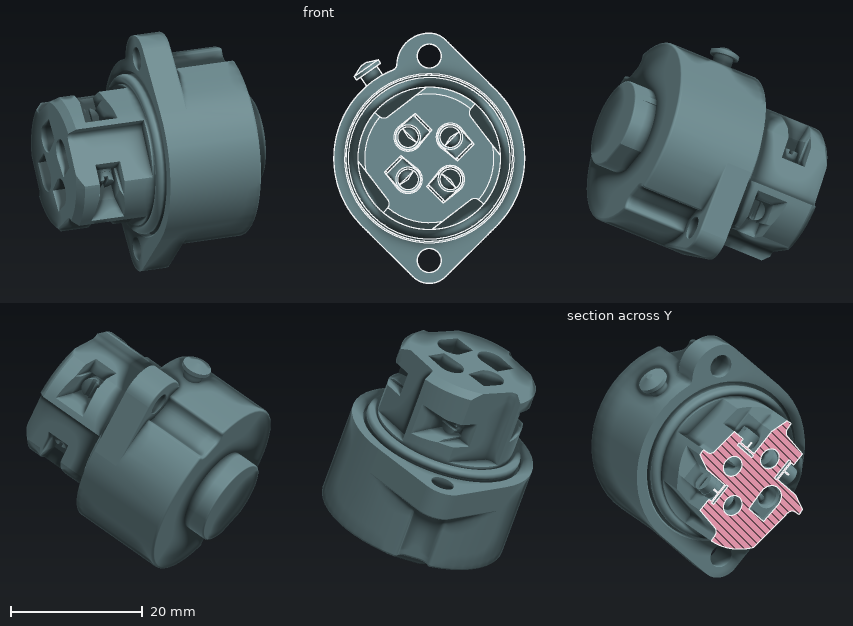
import cadquery as cq
import math


SHELL_RADIUS = 14.495
SHELL_BACK_Y = 14.78
SHELL_EDGE_ROUND = 0.38

FLANGE_THICKNESS = 4.5
FLANGE_EDGE_ROUND = 0.25
FLANGE_HALF_HEIGHT = 19.0
MOUNT_HOLE_DIAMETER = 3.6
MOUNT_HOLE_Z = 15.5
LUG_RADIUS = FLANGE_HALF_HEIGHT - MOUNT_HOLE_Z
RELIEVED_LUG_RADIUS = 4.95
RELIEF_FILLET = 0.95

NOTCH_FLOOR_Z = 12.85
NOTCH_HALF_FLOOR = 1.0
NOTCH_HALF_WIDTH = 2.47
NOTCH_CORNER_RADIUS = NOTCH_HALF_WIDTH - NOTCH_HALF_FLOOR
NOTCH_LIP_ROUND = 0.5

PIN_ANGLE = 125.0
PIN_Y = 4.3
PIN_STEM_RADIUS = 1.5
PIN_HEAD_RADIUS = 2.25
PIN_TIP_RADIUS = 0.5
PIN_ROOT_REACH = 13.3
PIN_HEAD_REACH = 16.05
PIN_RIM_REACH = 16.68
PIN_TIP_REACH = 17.4

RECESS_RADIUS = 12.6
RECESS_DEPTH = 1.25
RECESS_CHAMFER = 0.23

INSERT_RADIUS = 10.81
INSERT_FRONT_Y = -13.5
INSERT_SEAT_Y = FLANGE_THICKNESS
INSERT_CHAMFER = 1.03
BOSS_RADIUS = 6.8
BOSS_BACK_Y = 18.43
BOSS_FLAT_Z = -6.42
BOSS_EDGE_ROUND = 0.23
RIB_HEIGHT = 0.1
RIB_BOTTOM_Z = -0.4
RIB_WIDTH = 1.15
RIB_RAMP_Y = 16.07
RIB_END_Y = 17.1

SEAL_OUTER_RADIUS = 12.1
SEAL_PROUD = 1.25

FLAT_DISTANCE = 8.8
FLAT_NORMAL_ANGLE = 127.5
FLAT_WALL_ANGLE = 140.0
FLAT_FILLET = 1.0
FLAT_START_Y = -1.5

SCREW_ANGLE = 45.0
SCREW_Y = -8.05
GROUND_SCREW_Y = -6.05
STATION_SCREW_YS = [SCREW_Y, SCREW_Y, GROUND_SCREW_Y, SCREW_Y]

SCREW_RADIUS = 1.5
SCREW_TOP = 5.95
SCREW_CONE_HEIGHT = 0.35
SCREW_TIP_RADIUS = 0.065
SCREW_SLOT_WIDTH = 0.7
SCREW_SLOT_DEPTH = 0.57
COLLAR_RADIUS = 1.55
COLLAR_TOP = 4.65

WIRE_OFFSET = 3.203
ENTRY_FLOOR_DROP = 3.08
ENTRY_REACH = 3.3
ENTRY_MOUTH_RADIUS = 2.145
ENTRY_FLOOR_RADIUS = 1.95
ENTRY_MOUTH_HALF_END = 1.8
ENTRY_FLOOR_HALF_END = 1.75
ENTRY_GAP_WIDTH = 0.38
WIRE_HOLE_RADIUS = 1.55
WIRE_HOLE_PAST_SCREW = 2.28
COUNTERSINK_RADIUS = 1.85

WELL_HALF_WIDTH = 1.6
WELL_FLOOR = 3.6
SIDE_SLOT_HALF_WIDTH = 1.995
SIDE_SLOT_FLOOR = 4.2
FUNNEL_START = 7.9
FUNNEL_SLOPE = 0.37
WELL_TOP = 12.15


def plane_at(y):
    """Workplane facing -Y, with local axes X and Z."""
    return cq.Workplane("XZ", origin=(0, y, 0))


def cylinder(radius, y_start, y_end):
    return plane_at(y_start).circle(radius).extrude(y_start - y_end)


def cone(start_radius, end_radius, y_start, y_end):
    return cq.Workplane(cq.Solid.makeCone(
        start_radius, end_radius, y_end - y_start,
        pnt=cq.Vector(0, y_start, 0), dir=cq.Vector(0, 1, 0)))


def polar(radius, angle):
    return (radius * math.cos(math.radians(angle)), radius * math.sin(math.radians(angle)))


def quarter_turn(shape, turn):
    """A shape turned about the Y axis by a number of quarter turns."""
    return shape.rotate((0, 0, 0), (0, 1, 0), 90 * turn)



def side_tangent():
    """Points where the straight side of a lug touches the shell and the lug's round end."""
    side_angle = math.degrees(math.asin((SHELL_RADIUS - LUG_RADIUS) / MOUNT_HOLE_Z))
    lug_x, lug_rise = polar(LUG_RADIUS, side_angle)
    return polar(SHELL_RADIUS, side_angle), (lug_x, MOUNT_HOLE_Z + lug_rise)


def lower_lug():
    (shell_x, shell_z), (lug_x, lug_z) = side_tangent()
    return finish_lug(
        plane_at(0)
        .lineTo(shell_x, -shell_z)
        .lineTo(lug_x, -lug_z)
        .threePointArc((0, -FLANGE_HALF_HEIGHT), (-lug_x, -lug_z))
        .lineTo(-shell_x, -shell_z)
        .close()
    )


def upper_lug():
    """Lug with a wider arc on the pin side, running into the shell through a fillet."""
    (shell_x, shell_z), (lug_x, lug_z) = side_tangent()
    side_angle = math.degrees(math.atan2(shell_z, shell_x))
    arc_x, arc_rise = polar(LUG_RADIUS, (90 + side_angle) / 2)
    relief_z = FLANGE_HALF_HEIGHT - RELIEVED_LUG_RADIUS
    relief_x, relief_rise = polar(RELIEVED_LUG_RADIUS, 135)

    shell_reach = SHELL_RADIUS + RELIEF_FILLET
    lug_reach = RELIEVED_LUG_RADIUS + RELIEF_FILLET
    fillet_z = (shell_reach ** 2 - lug_reach ** 2 + relief_z ** 2) / (2 * relief_z)
    fillet_x = -math.sqrt(shell_reach ** 2 - fillet_z ** 2)
    join_angle = math.degrees(math.atan2(fillet_z - relief_z, fillet_x))
    join_x, join_rise = polar(RELIEVED_LUG_RADIUS, join_angle)
    foot_angle = math.degrees(math.atan2(fillet_z, fillet_x))
    bend_x, bend_z = polar(RELIEF_FILLET, (foot_angle + join_angle) / 2 - 180)
    return finish_lug(
        plane_at(0)
        .lineTo(shell_x, shell_z)
        .lineTo(lug_x, lug_z)
        .threePointArc((arc_x, MOUNT_HOLE_Z + arc_rise), (0, FLANGE_HALF_HEIGHT))
        .threePointArc((relief_x, relief_z + relief_rise), (join_x, relief_z + join_rise))
        .threePointArc((fillet_x + bend_x, fillet_z + bend_z), polar(SHELL_RADIUS, foot_angle))
        .close()
    )


def finish_lug(outline):
    """Extrude a lug outline and round its back edge."""
    lug = outline.extrude(-FLANGE_THICKNESS)
    return lug.faces(">Y").edges().fillet(FLANGE_EDGE_ROUND)


def clearance_notch():
    """Round-cornered groove along the shell at the +Z side."""
    corner_z = NOTCH_FLOOR_Z + NOTCH_CORNER_RADIUS
    bend = NOTCH_CORNER_RADIUS * math.sqrt(0.5)
    top_z = MOUNT_HOLE_Z
    return (
        plane_at(FLANGE_THICKNESS)
        .moveTo(-NOTCH_HALF_FLOOR, NOTCH_FLOOR_Z)
        .lineTo(NOTCH_HALF_FLOOR, NOTCH_FLOOR_Z)
        .threePointArc((NOTCH_HALF_FLOOR + bend, corner_z - bend), (NOTCH_HALF_WIDTH, corner_z))
        .lineTo(NOTCH_HALF_WIDTH, top_z)
        .lineTo(-NOTCH_HALF_WIDTH, top_z)
        .lineTo(-NOTCH_HALF_WIDTH, corner_z)
        .threePointArc((-NOTCH_HALF_FLOOR - bend, corner_z - bend), (-NOTCH_HALF_FLOOR, NOTCH_FLOOR_Z))
        .close()
        .extrude(FLANGE_THICKNESS - SHELL_BACK_Y)
    )


def shell():
    body = cylinder(SHELL_RADIUS, 0, SHELL_BACK_Y)
    notch = clearance_notch()
    body = body.cut(notch).cut(notch.mirror("XY"))
    lip_z = math.sqrt(SHELL_RADIUS ** 2 - NOTCH_HALF_WIDTH ** 2)
    for x in (-NOTCH_HALF_WIDTH, NOTCH_HALF_WIDTH):
        for z in (-lip_z, lip_z):
            lip = cq.selectors.NearestToPointSelector((x, (FLANGE_THICKNESS + SHELL_BACK_Y) / 2, z))
            body = body.edges(lip).fillet(NOTCH_LIP_ROUND)
    return body.faces(">Y").edges().fillet(SHELL_EDGE_ROUND)


def lock_pin():
    profile = (
        cq.Workplane("XY")
        .moveTo(0, PIN_ROOT_REACH)
        .lineTo(PIN_STEM_RADIUS, PIN_ROOT_REACH)
        .lineTo(PIN_STEM_RADIUS, PIN_HEAD_REACH)
        .lineTo(PIN_HEAD_RADIUS, PIN_HEAD_REACH)
        .lineTo(PIN_HEAD_RADIUS, PIN_RIM_REACH)
        .lineTo(PIN_TIP_RADIUS, PIN_TIP_REACH)
        .lineTo(0, PIN_TIP_REACH)
        .close()
    )
    pin = profile.revolve(360, (0, 0, 0), (0, 1, 0))
    upright = pin.rotate((0, 0, 0), (1, 0, 0), 90)
    return upright.rotate((0, 0, 0), (0, 1, 0), 90 - PIN_ANGLE).translate((0, PIN_Y, 0))


def make_housing():
    body = shell().union(upper_lug()).union(lower_lug()).union(lock_pin())
    for z in (MOUNT_HOLE_Z, -MOUNT_HOLE_Z):
        hole = cylinder(MOUNT_HOLE_DIAMETER / 2, 0, FLANGE_THICKNESS).translate((0, 0, z))
        body = body.cut(hole)
    recess = cylinder(RECESS_RADIUS, 0, RECESS_DEPTH)
    recess_mouth = cone(RECESS_RADIUS + RECESS_CHAMFER, RECESS_RADIUS, 0, RECESS_CHAMFER)
    return body.cut(recess).cut(recess_mouth)



def insert_blank():
    main = cylinder(INSERT_RADIUS, INSERT_FRONT_Y, INSERT_SEAT_Y).faces("<Y").chamfer(INSERT_CHAMFER)
    seal = (
        cq.Workplane("XY")
        .moveTo(INSERT_RADIUS, RECESS_DEPTH)
        .lineTo(INSERT_RADIUS, 0)
        .threePointArc(
            ((INSERT_RADIUS + SEAL_OUTER_RADIUS) / 2, -SEAL_PROUD),
            (SEAL_OUTER_RADIUS, 0))
        .lineTo(SEAL_OUTER_RADIUS, RECESS_DEPTH)
        .close()
        .revolve(360, (0, 0, 0), (0, 1, 0))
    )
    return main.union(seal).union(rear_boss()).union(boss_rib())


def rear_boss():
    boss = cylinder(BOSS_RADIUS, INSERT_SEAT_Y, BOSS_BACK_Y)
    below_flat = cq.Workplane("XY").box(
        2 * BOSS_RADIUS, 2 * BOSS_BACK_Y, BOSS_RADIUS, centered=(True, True, False)
    ).translate((0, 0, BOSS_FLAT_Z - BOSS_RADIUS))
    return boss.cut(below_flat).faces(">Y").edges().fillet(BOSS_EDGE_ROUND)


def boss_rib():
    """Low ramped rib on the -X side of the boss, behind the housing."""
    root_x = -BOSS_RADIUS + 2 * RIB_HEIGHT
    top_x = -BOSS_RADIUS - RIB_HEIGHT
    outline = [(root_x, SHELL_BACK_Y), (top_x, SHELL_BACK_Y), (top_x, RIB_RAMP_Y),
               (-BOSS_RADIUS, RIB_END_Y), (root_x, RIB_END_Y)]
    return cq.Workplane("XY", origin=(0, 0, RIB_BOTTOM_Z)).polyline(outline).close().extrude(RIB_WIDTH)


def rim_flat():
    """Cutter for one flat and its radial end wall."""
    clear_radius = 1.5 * INSERT_RADIUS
    corner = polar(FLAT_DISTANCE / math.cos(math.radians(FLAT_WALL_ANGLE - FLAT_NORMAL_ANGLE)),
                   FLAT_WALL_ANGLE)
    flat_end_angle = FLAT_NORMAL_ANGLE - math.degrees(math.acos(FLAT_DISTANCE / clear_radius))
    cutter = (
        plane_at(INSERT_FRONT_Y)
        .moveTo(*corner)
        .lineTo(*polar(clear_radius, flat_end_angle))
        .lineTo(*polar(2 * clear_radius, FLAT_NORMAL_ANGLE))
        .lineTo(*polar(clear_radius, FLAT_WALL_ANGLE))
        .close()
        .extrude(INSERT_FRONT_Y - FLAT_START_Y)
    )
    corner_edge = cq.selectors.NearestToPointSelector(
        (corner[0], (INSERT_FRONT_Y + FLAT_START_Y) / 2, corner[1]))
    return cutter.edges("|Y").edges(corner_edge).fillet(FLAT_FILLET)


def entry_wedge(radius, half_end):
    """Corners of the straight part of a wire entry, pointing along local +X."""
    return [(0, -radius), (ENTRY_REACH, -half_end), (ENTRY_REACH, half_end), (0, radius)]


def wire_entry(screw_y):
    """Cutter for the upper-left wire entry and the wire hole in its floor."""
    floor_y = screw_y - ENTRY_FLOOR_DROP
    wedge = (
        plane_at(INSERT_FRONT_Y)
        .polyline(entry_wedge(ENTRY_MOUTH_RADIUS, ENTRY_MOUTH_HALF_END)).close()
        .workplane(offset=INSERT_FRONT_Y - floor_y)
        .polyline(entry_wedge(ENTRY_FLOOR_RADIUS, ENTRY_FLOOR_HALF_END)).close()
        .loft(ruled=True)
    )
    gap = (
        plane_at(floor_y)
        .center(ENTRY_REACH - ENTRY_GAP_WIDTH / 2, 0)
        .rect(ENTRY_GAP_WIDTH, 2 * ENTRY_FLOOR_HALF_END)
        .extrude(floor_y - screw_y)
    )
    round_end = cone(ENTRY_MOUTH_RADIUS, ENTRY_FLOOR_RADIUS, INSERT_FRONT_Y, floor_y)
    countersink_depth = COUNTERSINK_RADIUS - WIRE_HOLE_RADIUS
    countersink = cone(COUNTERSINK_RADIUS, WIRE_HOLE_RADIUS, floor_y, floor_y + countersink_depth)
    hole = cylinder(WIRE_HOLE_RADIUS, floor_y, screw_y + WIRE_HOLE_PAST_SCREW)
    cutter = wedge.union(round_end).union(gap).union(countersink).union(hole)
    turned = cutter.rotate((0, 0, 0), (0, 1, 0), -SCREW_ANGLE)
    return turned.translate((-WIRE_OFFSET, 0, WIRE_OFFSET))


def screw_plane(screw_y, height):
    """Workplane across the screw of the upper-left wire hole.

    Local X runs along +Y. Local Y points to the side where the access well is open.
    """
    axis_x, axis_z = polar(1, SCREW_ANGLE)
    base = cq.Plane(origin=(-WIRE_OFFSET, screw_y, WIRE_OFFSET), xDir=(0, 1, 0), normal=(axis_x, 0, axis_z))
    return cq.Workplane(base).workplane(offset=height)


def access_well(screw_y):
    """Cutter for the square well, its outward funnel and the slot open to one side."""
    well_width = 2 * WELL_HALF_WIDTH
    well = screw_plane(screw_y, WELL_FLOOR).rect(well_width, well_width).extrude(WELL_TOP - WELL_FLOOR)
    funnel_height = WELL_TOP - FUNNEL_START
    mouth_width = well_width + 2 * FUNNEL_SLOPE * funnel_height
    funnel = (
        screw_plane(screw_y, FUNNEL_START).rect(well_width, well_width)
        .workplane(offset=funnel_height).rect(mouth_width, mouth_width)
        .loft(ruled=True)
    )
    side_slot = (
        screw_plane(screw_y, SIDE_SLOT_FLOOR)
        .center(0, SCREW_RADIUS + INSERT_RADIUS / 2)
        .rect(2 * SIDE_SLOT_HALF_WIDTH, INSERT_RADIUS)
        .extrude(WELL_TOP - SIDE_SLOT_FLOOR)
    )
    return well.union(funnel).union(side_slot)


def clamp_screw(screw_y):
    """Slotted screw with a collar in the well and a cone tip in the wire hole."""
    tip = (
        screw_plane(screw_y, 0).circle(SCREW_TIP_RADIUS)
        .workplane(offset=SCREW_CONE_HEIGHT).circle(SCREW_RADIUS)
        .loft(ruled=True)
    )
    shank_length = SCREW_TOP - SCREW_CONE_HEIGHT
    shank = screw_plane(screw_y, SCREW_CONE_HEIGHT).circle(SCREW_RADIUS).extrude(shank_length)
    slot = (
        screw_plane(screw_y, SCREW_TOP - SCREW_SLOT_DEPTH)
        .rect(SCREW_SLOT_WIDTH, 3 * SCREW_RADIUS)
        .extrude(SCREW_SLOT_DEPTH)
    )
    collar = screw_plane(screw_y, WELL_FLOOR).circle(COLLAR_RADIUS).extrude(COLLAR_TOP - WELL_FLOOR)
    return shank.cut(slot).union(tip).union(collar)


def make_insert():
    body = insert_blank()
    for turn, screw_y in enumerate(STATION_SCREW_YS):
        for cutter in (rim_flat(), wire_entry(screw_y), access_well(screw_y)):
            body = body.cut(quarter_turn(cutter, turn))
    for turn, screw_y in enumerate(STATION_SCREW_YS):
        body = body.union(quarter_turn(clamp_screw(screw_y), turn))
    return body


def insert_seat():
    """Space in the housing that the insert's cylinder and boss fill."""
    return cylinder(INSERT_RADIUS, 0, INSERT_SEAT_Y).union(rear_boss())


housing = make_housing().cut(insert_seat())
insert = make_insert()
result = cq.Compound.makeCompound([housing.val(), insert.val()])